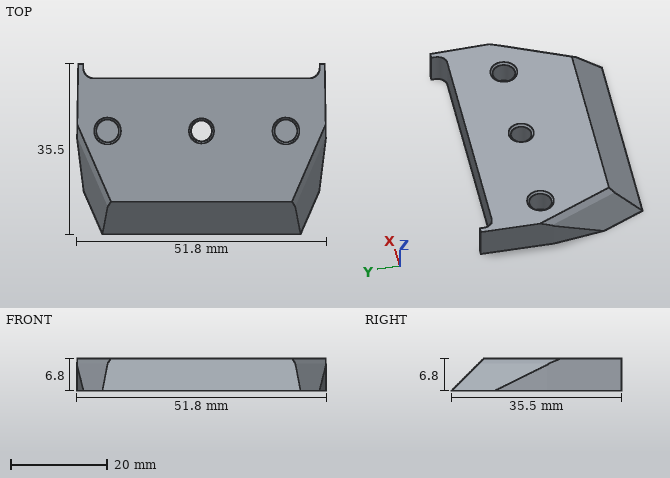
import cadquery as cq
import math

max_width = 51.8
length = 35.45
thickness = 6.8

back_width = 51.35
widest_y = 19.95
shoulder_width = 49.05
shoulder_y = 8.95
front_width = 41.25

side_bevel_angle = 30.0
edge_bevel_height = 1.05

notch_width = 49.1
notch_depth = 2.95
notch_radius = 2.05

hole_y = 21.5
through_diameter = 4.3
through_rim_diameter = 5.25
pocket_diameter = 4.7
pocket_rim_diameter = 5.6
pocket_depth = 5.2
left_pocket_x = -19.55
right_pocket_x = 17.55

cut_margin = 5.2


def body():
    """Plate with a tapered outline and a 45 degree front face."""
    right_edge = [
        (front_width / 2, 0),
        (shoulder_width / 2, shoulder_y),
        (max_width / 2, widest_y),
        (back_width / 2, length),
    ]
    left_edge = [(-x, y) for x, y in reversed(right_edge)]
    plate = cq.Workplane("XY").polyline(right_edge + left_edge).close().extrude(thickness)
    front_waste = (
        cq.Workplane("YZ")
        .polyline([(0, 0), (thickness, thickness), (0, thickness)])
        .close()
        .extrude(max_width / 2, both=True)
    )
    return plate.cut(front_waste)


def right_side_waste():
    """Prism outside the two side bevels, following the right front corner edge."""
    corner_run = (shoulder_width - front_width) / 2
    corner_edge = cq.Vector(corner_run, shoulder_y, 0)
    outward = cq.Vector(shoulder_y, -corner_run, 0)
    profile_plane = cq.Plane(origin=(front_width / 2, 0, 0), xDir=outward, normal=corner_edge * -1)
    lower_top = thickness - edge_bevel_height
    lower_inset = lower_top * math.tan(math.radians(side_bevel_angle))
    top_inset = lower_inset + edge_bevel_height
    profile = [
        (0, 0),
        (-lower_inset, lower_top),
        (-top_inset, thickness),
        (cut_margin, thickness),
        (cut_margin, 0),
    ]
    return cq.Workplane(profile_plane).polyline(profile).close().extrude(length, both=True)


def back_notch():
    """Recess across the back edge, with rounded inner corners."""
    return (
        cq.Workplane("XY")
        .box(notch_width, notch_depth + cut_margin, thickness, centered=(True, False, False))
        .translate((0, length - notch_depth, 0))
        .edges("|Z and <Y")
        .fillet(notch_radius)
    )


def hole(x, diameter, rim_diameter, depth):
    """Hole from the top face with a 45 degree countersunk rim."""
    radius = diameter / 2
    rim_radius = rim_diameter / 2
    rim_depth = rim_radius - radius
    profile = [(0, 0), (rim_radius, 0), (radius, -rim_depth), (radius, -depth), (0, -depth)]
    return (
        cq.Workplane("XZ")
        .polyline(profile)
        .close()
        .revolve(360, (0, 0), (0, 1))
        .translate((x, hole_y, thickness))
    )


side_waste = right_side_waste()
result = body().cut(side_waste).cut(side_waste.mirror("YZ")).cut(back_notch())
result = result.cut(hole(0, through_diameter, through_rim_diameter, thickness))
for pocket_x in (left_pocket_x, right_pocket_x):
    result = result.cut(hole(pocket_x, pocket_diameter, pocket_rim_diameter, pocket_depth))